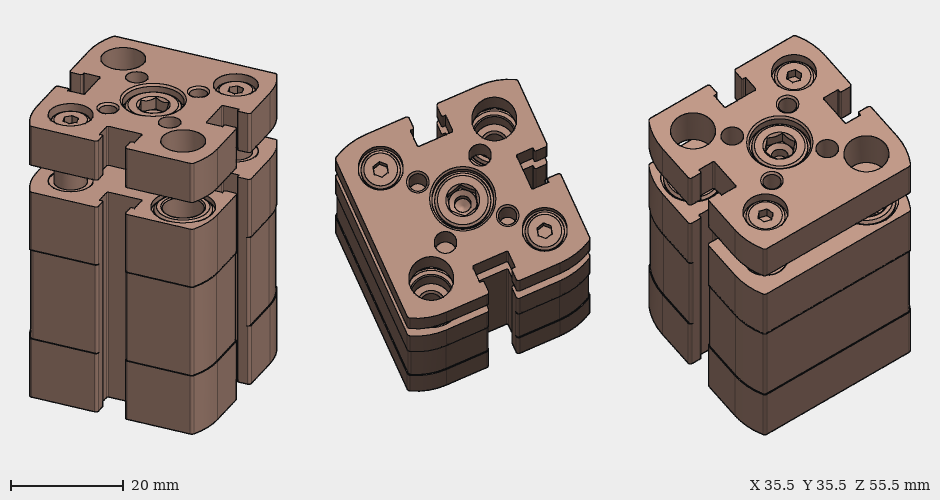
import cadquery as cq
import math

WIDTH = 35.5
TOTAL_HEIGHT = 55.5
HOUSING_HEIGHT = 42.0
PLATE_THICKNESS = 8.0
PLATE_BOTTOM = TOTAL_HEIGHT - PLATE_THICKNESS

HALF = WIDTH / 2
SHOULDER_Y = 11.05
SHOULDER_RADIUS = 13.3
CORNER_FILLET = 0.65

SLOT_MOUTH_WIDTH = 5.4
SLOT_INNER_WIDTH = 6.9
SLOT_LIP_DEPTH = 2.55
SLOT_DEPTH = 5.8
SLOT_MOUTH_ROUND = 0.5
SLOT_FLOOR_FILLET = 0.3
SLOT_LIP_FILLET = 0.3
SLOT_ANGLES = (-90, 0, 90)

WAIST_BOTTOM = 11.95
WAIST_TOP = 30.1
WAIST_INSET = 0.2

CORNER_OFFSET = 11.05
ROD_CORNERS = [(CORNER_OFFSET, CORNER_OFFSET), (-CORNER_OFFSET, -CORNER_OFFSET)]
ACCESS_CORNERS = [(-CORNER_OFFSET, CORNER_OFFSET), (CORNER_OFFSET, -CORNER_OFFSET)]

GUIDE_ROD_DIAMETER = 6.0
ROD_RECESS_DIAMETER = 8.0
ROD_RECESS_DEPTH = 0.2

COLLAR_GROOVE_DIAMETER = 11.5
COLLAR_GROOVE_DEPTH = 1.0
COLLAR_DIAMETER = 10.5
COLLAR_CHAMFER = 0.5
MOUNT_BORE_RIM_DIAMETER = 8.0
MOUNT_BORE_DIAMETER = 7.5
MOUNT_BORE_DEPTH = 6.0
MOUNT_HOLE_DIAMETER = 4.1
MOUNT_HOLE_RIM_DIAMETER = 5.0

ACCESS_HOLE_DIAMETER = 8.0
SMALL_HOLE_OFFSET = 6.05
PLAIN_HOLES = [(-SMALL_HOLE_OFFSET, SMALL_HOLE_OFFSET), (SMALL_HOLE_OFFSET, -SMALL_HOLE_OFFSET)]
THREADED_HOLES = [(SMALL_HOLE_OFFSET, SMALL_HOLE_OFFSET), (-SMALL_HOLE_OFFSET, -SMALL_HOLE_OFFSET)]
SMALL_HOLE_DIAMETER = 4.0
THREAD_HOLE_DIAMETER = 3.2
HEAD_SINK = 1.0
HEAD_CHAMFER_HEIGHT = 0.3
HEAD_CHAMFER_WIDTH = 0.5
HEAD_TOP = TOTAL_HEIGHT - HEAD_SINK
RECESS_DEPTH = 2.0

SCREW_RECESS_DIAMETER = 8.0
SCREW_HEAD_DIAMETER = 7.0
SCREW_HEX_FLATS = 2.5
SCREW_HEX_DEPTH = 2.0

CENTRE_RECESS_DIAMETER = 11.0
CENTRE_RECESS_RIM_DIAMETER = 11.75

PISTON_ROD_DIAMETER = 10.0
WRENCH_FLATS = 9.0
WRENCH_FLAT_BOTTOM = 43.45
SOCKET_HEX_FLATS = 5.0
SOCKET_HEX_DEPTH = 2.5
SOCKET_RIM_DIAMETER = 6.0
SOCKET_DRILL_DIAMETER = 3.0
SOCKET_DRILL_DEPTH = 2.0
DRILL_POINT_ANGLE = 118

HEX_TURN = -45


def cylinder(points, diameter, bottom, top):
    """Upright cylinders at the given points."""
    base = cq.Workplane("XY").workplane(offset=bottom)
    return base.pushPoints(points).circle(diameter / 2).extrude(top - bottom)


def cone(points, bottom_diameter, top_diameter, bottom, top):
    """Upright truncated cones at the given points."""
    solid = cq.Solid.makeCone(bottom_diameter / 2, top_diameter / 2, top - bottom)
    base = cq.Workplane("XY").workplane(offset=bottom)
    return base.pushPoints(points).eachpoint(lambda place: solid.moved(place))


def countersink(points, hole_diameter, rim_diameter, top):
    """A 45 degree countersink whose rim lies at height top."""
    return cone(points, hole_diameter, rim_diameter, top - (rim_diameter - hole_diameter) / 2, top)


def chamfered_cylinder(points, diameter, bottom, top):
    """Upright cylinders with a shallow chamfer around the top, wider than it is high."""
    shoulder = top - HEAD_CHAMFER_HEIGHT
    tip_diameter = diameter - 2 * HEAD_CHAMFER_WIDTH
    tips = cone(points, diameter, tip_diameter, shoulder, top)
    return cylinder(points, diameter, bottom, shoulder).union(tips)


def hex_socket(points, flats, bottom, top):
    """Hexagonal prisms of the given width across flats."""
    hexagon = cq.Workplane("XY").polygon(6, flats, circumscribed=True).extrude(top - bottom)
    hexagon = hexagon.rotate((0, 0, 0), (0, 0, 1), HEX_TURN).val()
    base = cq.Workplane("XY").workplane(offset=bottom)
    return base.pushPoints(points).eachpoint(lambda place: hexagon.moved(place))


def t_slot(bottom, top, inset):
    """Cutter for the T-slot that opens on the -Y side, with a rounded mouth."""
    side = -HALF + inset
    mouth = SLOT_MOUTH_WIDTH / 2
    inner = SLOT_INNER_WIDTH / 2
    lip = -HALF + SLOT_LIP_DEPTH
    floor = -HALF + SLOT_DEPTH
    radius = SLOT_MOUTH_ROUND
    reach = radius * (1 - math.cos(math.radians(45)))
    cutter = (
        cq.Workplane("XY")
        .workplane(offset=bottom)
        .moveTo(-mouth - radius, side)
        .threePointArc((-mouth - reach, side + reach), (-mouth, side + radius))
        .lineTo(-mouth, lip)
        .lineTo(-inner, lip)
        .lineTo(-inner, floor)
        .lineTo(inner, floor)
        .lineTo(inner, lip)
        .lineTo(mouth, lip)
        .lineTo(mouth, side + radius)
        .threePointArc((mouth + reach, side + reach), (mouth + radius, side))
        .close()
        .extrude(top - bottom)
    )
    cutter = cutter.edges("|Z and >Y").fillet(SLOT_FLOOR_FILLET)
    for x in (-mouth, mouth):
        lip_edge = cq.selectors.NearestToPointSelector((x, lip, (bottom + top) / 2))
        cutter = cutter.edges(lip_edge).fillet(SLOT_LIP_FILLET)
    return cutter


def profile_block(bottom, top, inset=0.0):
    """Slotted block with bowed corners; inset shrinks every outer side."""
    half = HALF - inset
    radius = SHOULDER_RADIUS - inset

    def bow_x(y):
        return half - radius + math.sqrt(radius**2 - (y - SHOULDER_Y) ** 2)

    middle_y = (SHOULDER_Y + half) / 2
    block = (
        cq.Workplane("XY")
        .workplane(offset=bottom)
        .moveTo(half, -SHOULDER_Y)
        .lineTo(half, SHOULDER_Y)
        .threePointArc((bow_x(middle_y), middle_y), (bow_x(half), half))
        .lineTo(-bow_x(half), half)
        .threePointArc((-bow_x(middle_y), middle_y), (-half, SHOULDER_Y))
        .lineTo(-half, -SHOULDER_Y)
        .threePointArc((-bow_x(middle_y), -middle_y), (-bow_x(half), -half))
        .lineTo(bow_x(half), -half)
        .threePointArc((bow_x(middle_y), -middle_y), (half, -SHOULDER_Y))
        .close()
        .extrude(top - bottom)
    )
    block = block.edges("|Z and (>Y or <Y)").fillet(CORNER_FILLET)
    slot = t_slot(bottom, top, inset)
    for angle in SLOT_ANGLES:
        block = block.cut(slot.rotate((0, 0, 0), (0, 0, 1), angle))
    return block


def make_housing():
    """Cylinder housing with a slimmer waist and mounting bores in two corners."""
    top = HOUSING_HEIGHT
    housing = (
        profile_block(0, WAIST_BOTTOM)
        .union(profile_block(WAIST_BOTTOM, WAIST_TOP, WAIST_INSET))
        .union(profile_block(WAIST_TOP, top))
    )

    housing = housing.cut(cylinder(ROD_CORNERS, ROD_RECESS_DIAMETER, top - ROD_RECESS_DEPTH, top))

    groove_floor = top - COLLAR_GROOVE_DEPTH
    collars = cylinder(ACCESS_CORNERS, COLLAR_DIAMETER, groove_floor, top)
    collars = collars.faces(">Z").chamfer(COLLAR_CHAMFER)
    grooves = cylinder(ACCESS_CORNERS, COLLAR_GROOVE_DIAMETER, groove_floor, top).cut(collars)
    housing = housing.cut(grooves)

    bore_floor = top - MOUNT_BORE_DEPTH
    housing = housing.cut(countersink(ACCESS_CORNERS, MOUNT_BORE_DIAMETER, MOUNT_BORE_RIM_DIAMETER, top))
    housing = housing.cut(cylinder(ACCESS_CORNERS, MOUNT_BORE_DIAMETER, bore_floor, top))
    housing = housing.cut(countersink(ACCESS_CORNERS, MOUNT_HOLE_DIAMETER, MOUNT_HOLE_RIM_DIAMETER, bore_floor))
    return housing.cut(cylinder(ACCESS_CORNERS, MOUNT_HOLE_DIAMETER, 0, bore_floor))


def make_plate():
    """Plate with access holes, small holes and the recesses for the heads."""
    top = TOTAL_HEIGHT
    recess_floor = top - RECESS_DEPTH
    plate = profile_block(PLATE_BOTTOM, top)
    plate = plate.cut(cylinder(ACCESS_CORNERS, ACCESS_HOLE_DIAMETER, PLATE_BOTTOM, top))
    plate = plate.cut(cylinder(PLAIN_HOLES, SMALL_HOLE_DIAMETER, PLATE_BOTTOM, top))
    plate = plate.cut(cylinder(THREADED_HOLES, THREAD_HOLE_DIAMETER, PLATE_BOTTOM, top))
    plate = plate.cut(countersink(THREADED_HOLES, THREAD_HOLE_DIAMETER, SMALL_HOLE_DIAMETER, top))
    plate = plate.cut(cylinder(ROD_CORNERS, SCREW_RECESS_DIAMETER, recess_floor, top))
    plate = plate.cut(cylinder([(0, 0)], CENTRE_RECESS_DIAMETER, recess_floor, top))
    plate = plate.cut(countersink([(0, 0)], CENTRE_RECESS_DIAMETER, CENTRE_RECESS_RIM_DIAMETER, top))
    return plate.cut(cylinder([(0, 0)], PISTON_ROD_DIAMETER, PLATE_BOTTOM, top))


def make_piston_rod():
    """Central rod with two wrench flats and a hexagonal socket in its top."""
    rod = chamfered_cylinder([(0, 0)], PISTON_ROD_DIAMETER, HOUSING_HEIGHT, HEAD_TOP)

    radius = PISTON_ROD_DIAMETER / 2
    flat = WRENCH_FLATS / 2
    slope_end = WRENCH_FLAT_BOTTOM - (radius - flat)
    flat_cutter = (
        cq.Workplane("YZ")
        .moveTo(flat, PLATE_BOTTOM)
        .lineTo(flat, WRENCH_FLAT_BOTTOM)
        .lineTo(radius, slope_end)
        .lineTo(radius, PLATE_BOTTOM)
        .close()
        .extrude(radius, both=True)
    )
    rod = rod.cut(flat_cutter).cut(flat_cutter.mirror("XZ"))

    socket_floor = HEAD_TOP - SOCKET_HEX_DEPTH
    rim_depth = (SOCKET_RIM_DIAMETER - SOCKET_HEX_FLATS) / 2
    rod = rod.cut(hex_socket([(0, 0)], SOCKET_HEX_FLATS, socket_floor, HEAD_TOP))
    rod = rod.cut(cone([(0, 0)], SOCKET_HEX_FLATS, SOCKET_RIM_DIAMETER, HEAD_TOP - rim_depth, HEAD_TOP))
    hex_radius = SOCKET_HEX_FLATS / 2
    drill_radius = SOCKET_DRILL_DIAMETER / 2
    cone_slope = 1 / math.tan(math.radians(DRILL_POINT_ANGLE / 2))
    drill_top = socket_floor - (hex_radius - drill_radius) * cone_slope
    drill_bottom = drill_top - SOCKET_DRILL_DEPTH
    drill_cutter = (
        cq.Workplane("XZ")
        .moveTo(0, socket_floor)
        .lineTo(hex_radius, socket_floor)
        .lineTo(drill_radius, drill_top)
        .lineTo(drill_radius, drill_bottom)
        .lineTo(0, drill_bottom - drill_radius * cone_slope)
        .close()
        .revolve()
    )
    return rod.cut(drill_cutter)


def make_guide_rods():
    """Guide rods standing on the floors of the housing recesses."""
    return cylinder(ROD_CORNERS, GUIDE_ROD_DIAMETER, HOUSING_HEIGHT - ROD_RECESS_DEPTH, PLATE_BOTTOM)


def make_screw_heads():
    """Socket heads sitting in the plate above the guide rods."""
    return chamfered_cylinder(ROD_CORNERS, SCREW_HEAD_DIAMETER, TOTAL_HEIGHT - RECESS_DEPTH, HEAD_TOP)


def make_guide_unit():
    """The moving body: plate, piston rod, guide rods and screw heads in one piece."""
    unit = make_plate().union(make_piston_rod()).union(make_guide_rods()).union(make_screw_heads())
    return unit.cut(hex_socket(ROD_CORNERS, SCREW_HEX_FLATS, HEAD_TOP - SCREW_HEX_DEPTH, HEAD_TOP))


housing = make_housing()
guide_unit = make_guide_unit()
result = cq.Compound.makeCompound([housing.val(), guide_unit.val()])